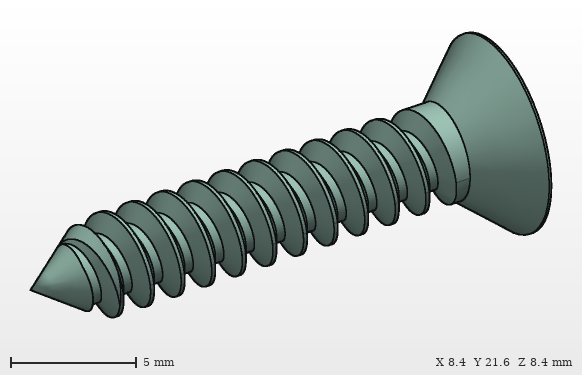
import cadquery as cq

length = 21.6
head_radius = 4.2
rim_thickness = 0.1
head_height = 2.53
shank_radius = 2.1
point_height = 2.95

thread_length = 15.52
thread_pitches = 11
pitch = thread_length / thread_pitches
root_radius = 1.34
root_width = 0.39
crest_width = 0.17
groove_start = 3.09
groove_turns = 12.4
cut_margin = 0.06


def make_head():
    """Conical head with a thin cylindrical rim."""
    return (
        cq.Workplane("XZ")
        .moveTo(0, 0)
        .lineTo(head_radius, 0)
        .lineTo(head_radius, -rim_thickness)
        .lineTo(shank_radius, -head_height)
        .lineTo(0, -head_height)
        .close()
        .revolve(360, (0, 0, 0), (0, 1, 0))
    )


def make_shank():
    """Plain shank below the head, ending in a conical point."""
    return (
        cq.Workplane("XZ")
        .moveTo(0, -head_height)
        .lineTo(shank_radius, -head_height)
        .lineTo(shank_radius, point_height - length)
        .lineTo(0, -length)
        .close()
        .revolve(360, (0, 0, 0), (0, 1, 0))
    )


def make_thread_groove():
    """Helical cutter that stops in a radial face on the -X side near the head."""
    groove_length = groove_turns * pitch
    outer_radius = shank_radius + cut_margin
    groove_width = pitch - crest_width
    flank_slope = (groove_width - root_width) / 2 / (shank_radius - root_radius)
    inner_half = root_width / 2
    outer_half = inner_half + flank_slope * (outer_radius - root_radius)
    helix = cq.Wire.makeHelix(pitch, groove_length, root_radius)
    groove = (
        cq.Workplane("XZ")
        .polyline([
            (root_radius, -inner_half),
            (outer_radius, -outer_half),
            (outer_radius, outer_half),
            (root_radius, inner_half),
        ])
        .close()
        .sweep(cq.Workplane(obj=helix), isFrenet=True)
    )
    return (
        groove
        .rotate((0, 0, 0), (0, 0, 1), 180 - 360 * groove_turns)
        .translate((0, 0, -groove_start - groove_length))
    )


threaded_shank = make_shank().cut(make_thread_groove())
screw = make_head().union(threaded_shank)
result = screw.rotate((0, 0, 0), (1, 0, 0), -90)